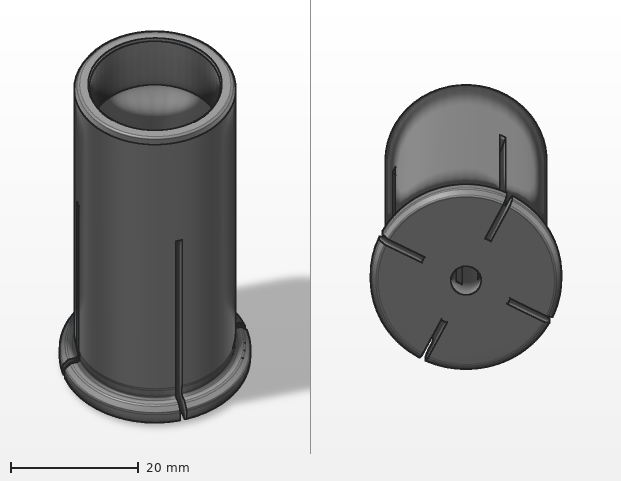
import cadquery as cq
import math

total_height = 60.0
corner_blend = 0.5

flange_radius = 15.0
flange_height = 3.9
flange_chamfer = 0.95

barrel_radius = 25.4 / 2
neck_depth = 0.15
neck_ramp_angle = 15.0
neck_top = 6.2
barrel_lead_in_width = 0.55
barrel_lead_in_height = 1.0

bore_radius = 20.5 / 2
bore_chamfer_width = 0.25
bore_chamfer_height = 0.5
bore_depth = 9.9
funnel_radius = 10.0 / 2
funnel_angle = 45.0
throat_angle = 30.0
hole_radius = 4.75 / 2

slot_count = 4
slot_width = 1.0
slot_top_at_barrel = 37.7
slot_mouth_radius = 7.55
slot_slope = 45.0

axis_start = (0, 0, 0)
axis_end = (0, 1, 0)


def blend_corner(solid, radius, height):
    """Round the circular edge at the given radius and height."""
    tolerance = 0.005
    box = cq.selectors.BoxSelector(
        (-radius - tolerance, -radius - tolerance, height - tolerance),
        (radius + tolerance, radius + tolerance, height + tolerance),
    )
    rim = [
        edge for edge in solid.edges(box).vals()
        if edge.geomType() == "CIRCLE" and abs(edge.radius() - radius) < tolerance
    ]
    return solid.newObject(rim).fillet(corner_blend)


def make_body():
    """Turned flange, neck and barrel, without the inside."""
    neck_radius = barrel_radius - neck_depth
    ramp_height = neck_depth / math.tan(math.radians(neck_ramp_angle))
    flange_face_radius = flange_radius - flange_chamfer
    rim_radius = barrel_radius - barrel_lead_in_width
    body = (
        cq.Workplane("XZ")
        .moveTo(0, 0)
        .lineTo(flange_face_radius, 0)
        .lineTo(flange_radius, flange_chamfer)
        .lineTo(flange_radius, flange_height - flange_chamfer)
        .lineTo(flange_face_radius, flange_height)
        .lineTo(neck_radius, flange_height)
        .lineTo(neck_radius, neck_top - ramp_height)
        .lineTo(barrel_radius, neck_top)
        .lineTo(barrel_radius, total_height - barrel_lead_in_height)
        .lineTo(rim_radius, total_height)
        .lineTo(0, total_height)
        .close()
        .revolve(360, axis_start, axis_end)
    )
    blended_corners = [
        (flange_face_radius, 0),
        (flange_radius, flange_chamfer),
        (flange_radius, flange_height - flange_chamfer),
        (flange_face_radius, flange_height),
        (neck_radius, flange_height),
        (rim_radius, total_height),
    ]
    for radius, height in blended_corners:
        body = blend_corner(body, radius, height)
    return body


def make_inside():
    """Bore, two cones and the through hole as one turned cutter."""
    funnel_top = total_height - bore_depth
    funnel_bottom = funnel_top - (bore_radius - funnel_radius) / math.tan(math.radians(funnel_angle))
    throat_bottom = funnel_bottom - (funnel_radius - hole_radius) / math.tan(math.radians(throat_angle))
    return (
        cq.Workplane("XZ")
        .moveTo(0, 0)
        .lineTo(hole_radius, 0)
        .lineTo(hole_radius, throat_bottom)
        .lineTo(funnel_radius, funnel_bottom)
        .lineTo(bore_radius, funnel_top)
        .lineTo(bore_radius, total_height - bore_chamfer_height)
        .lineTo(bore_radius + bore_chamfer_width, total_height)
        .lineTo(0, total_height)
        .close()
        .revolve(360, axis_start, axis_end)
    )


def make_slot():
    """Slot cutter along +X: its floor slopes in from both ends to the axis."""
    slope = math.tan(math.radians(slot_slope))
    reach = flange_radius + 0.6
    top_at_axis = slot_top_at_barrel - barrel_radius * slope
    bottom_at_axis = slot_mouth_radius * slope
    return (
        cq.Workplane("XZ")
        .moveTo(0, bottom_at_axis)
        .lineTo(reach, bottom_at_axis - reach * slope)
        .lineTo(reach, top_at_axis + reach * slope)
        .lineTo(0, top_at_axis)
        .close()
        .extrude(slot_width / 2, both=True)
    )


result = make_body().cut(make_inside())
for index in range(slot_count):
    angle = index * 360 / slot_count
    result = result.cut(make_slot().rotate((0, 0, 0), (0, 0, 1), angle))